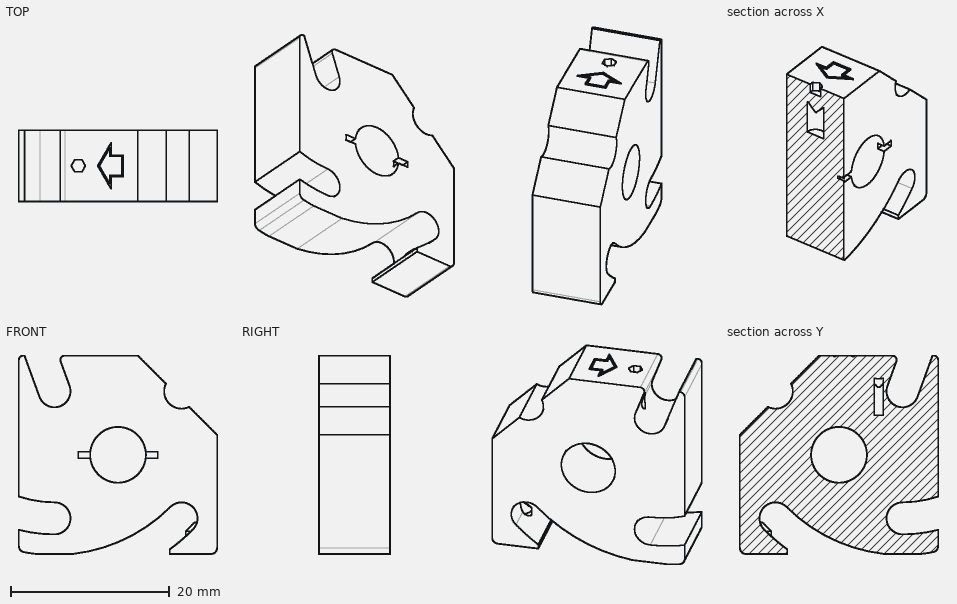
import cadquery as cq
import math

SIDE = 25.0
THICKNESS = 9.0
HALF = SIDE / 2
CORNER_CHAMFER = 10.0

SEAT_OFFSET = 8.0
SEAT_RADIUS = 2.0
RELIEF_RADIUS = 2.18

SLOT_TILT = 20.0
SLOT_LENGTH = 10.0

PIVOT = (-SEAT_OFFSET, SEAT_OFFSET)
SIDE_SWING_RADIUS = 2 * SEAT_OFFSET
CORNER_SWING_RADIUS = SIDE_SWING_RADIUS * math.sqrt(2)
HOOK_TIP_X = 6.5

LUG_ROUND = 0.55
FOOT_ROUND = 0.8

BORE_RADIUS = 3.5
SPANNER_SLOT_REACH = 5.0
SPANNER_SLOT_WIDTH = 0.8
SPANNER_SLOT_DEPTH = 1.0

SCREW_RADIUS = 1.25
SCREW_LENGTH = 4.0
SCREW_POINT_LENGTH = 1.15
TOP_SCREW_X = -5.0
BOTTOM_SCREW_X = 9.75
SCREW_HOLE_DEPTH = 7.5
SOCKET_ACROSS_FLATS = 1.55
SOCKET_DEPTH = 1.25

ARROW_TIP_X = -2.55
ARROW_BARB_X = -0.88
ARROW_TAIL_X = 0.65
ARROW_BARB_HALF_WIDTH = 2.9
ARROW_SHAFT_HALF_WIDTH = 1.35
ARROW_LINE_WIDTH = 0.18
ARROW_DEPTH = 0.1


def through_cylinder(x, z, radius):
    """Cylinder along Y through the whole thickness."""
    return cq.Workplane("XZ").center(x, z).circle(radius).extrude(THICKNESS / 2, both=True)


def through_block(x_min, x_max, z_min, z_max):
    """Box through the whole thickness."""
    center = ((x_min + x_max) / 2, 0, (z_min + z_max) / 2)
    return cq.Workplane("XY").box(x_max - x_min, THICKNESS, z_max - z_min).translate(center)


def swing_ring(swing_radius):
    """Ring, one seat diameter wide, that a rod sweeps when it swings about the pivot."""
    outer = through_cylinder(*PIVOT, swing_radius + SEAT_RADIUS)
    return outer.cut(through_cylinder(*PIVOT, swing_radius - SEAT_RADIUS))


def tilted_slot():
    """Open slot that runs up and to the left from the upper-left seat."""
    channel = through_block(-SEAT_RADIUS, SEAT_RADIUS, 0, SLOT_LENGTH)
    channel = channel.rotate((0, 0, 0), (0, 1, 0), -SLOT_TILT)
    channel = channel.translate((PIVOT[0], 0, PIVOT[1]))
    return channel.union(through_cylinder(*PIVOT, SEAT_RADIUS))


def side_slot():
    """Arc-shaped slot from the left face to the lower-left seat."""
    left_region = through_block(-SIDE, -SEAT_OFFSET, -HALF, 0)
    channel = swing_ring(SIDE_SWING_RADIUS).intersect(left_region)
    return channel.union(through_cylinder(-SEAT_OFFSET, -SEAT_OFFSET, SEAT_RADIUS))


def hook_slot():
    """Opening under the curved belly, carried on along an arc to the lower-right seat."""
    lower_left = (
        cq.Workplane("XZ")
        .polyline([PIVOT, (PIVOT[0] + SIDE, PIVOT[1] - SIDE), (-SIDE, -SIDE), (-SIDE, PIVOT[1])])
        .close()
        .extrude(THICKNESS / 2, both=True)
    )
    channel = swing_ring(CORNER_SWING_RADIUS).intersect(lower_left)
    below_belly = through_block(-SIDE, HOOK_TIP_X, -SIDE, -SEAT_OFFSET)
    below_belly = below_belly.cut(through_cylinder(*PIVOT, CORNER_SWING_RADIUS - SEAT_RADIUS))
    seat = through_cylinder(SEAT_OFFSET, -SEAT_OFFSET, SEAT_RADIUS)
    return channel.union(below_belly).union(seat)


def round_edge(body, x, z, radius):
    """Round the edge along Y that lies nearest to (x, z)."""
    return body.edges("|Y").edges(cq.selectors.NearestToPointSelector((x, 0, z))).fillet(radius)


def make_body():
    body = through_block(-HALF, HALF, -HALF, HALF)
    body = body.edges(">X and >Z").chamfer(CORNER_CHAMFER)
    body = body.cut(through_cylinder(SEAT_OFFSET, SEAT_OFFSET, RELIEF_RADIUS))
    for slot in (tilted_slot(), side_slot(), hook_slot()):
        body = body.cut(slot)
    slot_edge_x = (
        PIVOT[0]
        + SEAT_RADIUS / math.cos(math.radians(SLOT_TILT))
        - (HALF - PIVOT[1]) * math.tan(math.radians(SLOT_TILT))
    )
    body = round_edge(body, -HALF, HALF, LUG_ROUND)
    body = round_edge(body, slot_edge_x, HALF, LUG_ROUND)
    body = round_edge(body, -HALF, -HALF, FOOT_ROUND)
    return round_edge(body, HALF, -HALF, FOOT_ROUND)


def make_bore():
    """Through bore with the spanner slot sunk in the front face."""
    spanner_disc = through_cylinder(0, 0, SPANNER_SLOT_REACH)
    spanner_slot = cq.Workplane("XY").box(SIDE, SPANNER_SLOT_DEPTH, SPANNER_SLOT_WIDTH)
    spanner_slot = spanner_slot.translate((0, (SPANNER_SLOT_DEPTH - THICKNESS) / 2, 0))
    return through_cylinder(0, 0, BORE_RADIUS).union(spanner_slot.intersect(spanner_disc))


def make_screw(x):
    """Screw with its flat end on the bottom face and a 45 degree cone point upward."""
    shank_length = SCREW_LENGTH - SCREW_POINT_LENGTH
    return (
        cq.Workplane("XZ")
        .polyline([
            (0, 0),
            (SCREW_RADIUS, 0),
            (SCREW_RADIUS, shank_length),
            (SCREW_RADIUS - SCREW_POINT_LENGTH, SCREW_LENGTH),
            (0, SCREW_LENGTH),
        ])
        .close()
        .revolve(360, (0, 0), (0, 1))
        .translate((x, 0, -HALF))
    )


def screw_hole_below_screw():
    """Empty end of the top screw hole; it breaks into the tilted slot."""
    hole = (
        cq.Workplane("XY", origin=(TOP_SCREW_X, 0, HALF - SCREW_HOLE_DEPTH))
        .circle(SCREW_RADIUS)
        .extrude(SCREW_HOLE_DEPTH)
    )
    return hole.cut(make_screw(TOP_SCREW_X).mirror("XY"))


def screw_socket():
    across_corners = SOCKET_ACROSS_FLATS / math.cos(math.pi / 6)
    return (
        cq.Workplane("XY", origin=(TOP_SCREW_X, 0, HALF))
        .polygon(6, across_corners)
        .extrude(-SOCKET_DEPTH)
    )


def arrow_groove():
    upper_half = [
        (ARROW_BARB_X, ARROW_BARB_HALF_WIDTH),
        (ARROW_BARB_X, ARROW_SHAFT_HALF_WIDTH),
        (ARROW_TAIL_X, ARROW_SHAFT_HALF_WIDTH),
    ]
    lower_half = [(x, -y) for x, y in reversed(upper_half)]
    arrow = (
        cq.Workplane("XY", origin=(0, 0, HALF))
        .polyline([(ARROW_TIP_X, 0)] + upper_half + lower_half)
        .close()
        .extrude(-ARROW_DEPTH)
    )
    arrow_outline = arrow.faces(">Z").wires().toPending()
    island = arrow_outline.offset2D(-ARROW_LINE_WIDTH, "intersection").extrude(-ARROW_DEPTH, combine=False)
    return arrow.cut(island)


result = (
    make_body()
    .cut(make_bore())
    .cut(screw_hole_below_screw())
    .cut(screw_socket())
    .cut(arrow_groove())
    .union(make_screw(BOTTOM_SCREW_X))
)